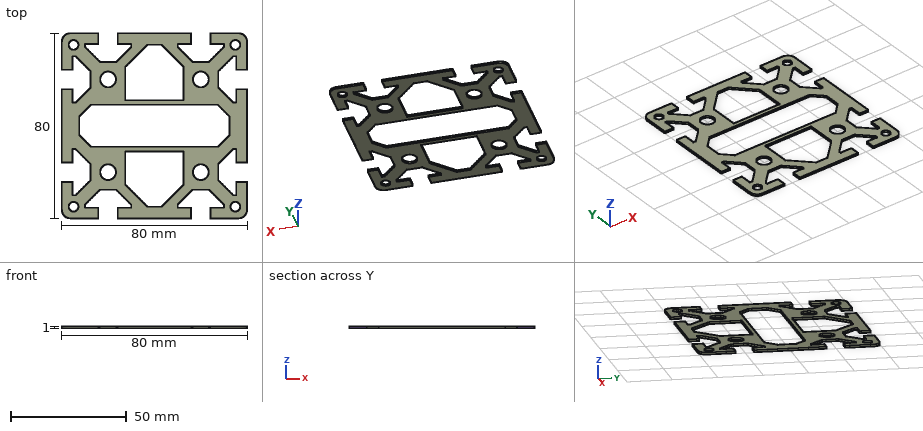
import cadquery as cq

SIDE = 80.0
THICKNESS = 1.0
CORNER_RADIUS = 3.8
HALF_SIDE = SIDE / 2

MODULE = SIDE / 2
MODULE_CENTER = MODULE / 2

SLOT_MOUTH = 8.3
SLOT_WIDTH = 19.8
SLOT_FLOOR_WIDTH = 7.0
SLOT_LIP = 4.75
SLOT_DEPTH = 12.4
SLOT_SLOPE = (SLOT_WIDTH - SLOT_FLOOR_WIDTH) / 2

CORE_DIAMETER = 6.7
CORNER_HOLE_DIAMETER = 4.1
CORNER_HOLE_INSET = 5.1

CENTER_POCKET_LENGTH = 64.7
CENTER_POCKET_HEIGHT = 18.0
CENTER_POCKET_CHAMFER = 5.0

SIDE_POCKET_WIDTH = 25.0
SIDE_POCKET_WALL = 5.1
SIDE_POCKET_CHAMFER = 9.5
WEB = 2.1


def make_plate():
    plate = cq.Workplane("XY").rect(SIDE, SIDE).extrude(THICKNESS)
    return plate.edges("|Z").fillet(CORNER_RADIUS)


def make_slot(center_x):
    """T-slot cutter opening through the +Y side of the plate."""
    lip_y = HALF_SIDE - SLOT_LIP
    floor_y = HALF_SIDE - SLOT_DEPTH
    flank_y = floor_y + SLOT_SLOPE
    right_half = [
        (SLOT_MOUTH / 2, HALF_SIDE),
        (SLOT_MOUTH / 2, lip_y),
        (SLOT_WIDTH / 2, lip_y),
        (SLOT_WIDTH / 2, flank_y),
        (SLOT_FLOOR_WIDTH / 2, floor_y),
    ]
    left_half = [(-x, y) for x, y in reversed(right_half)]
    outline = [(center_x + x, y) for x, y in right_half + left_half]
    return cq.Workplane("XY").polyline(outline).close().extrude(THICKNESS)


def cut_slots(plate):
    for center_x in (-MODULE_CENTER, MODULE_CENTER):
        slot = make_slot(center_x)
        for angle in (0, 90, 180, 270):
            plate = plate.cut(slot.rotate((0, 0, 0), (0, 0, 1), angle))
    return plate


def cut_square_hole_pattern(plate, spacing, diameter):
    holes = (
        cq.Workplane("XY")
        .rarray(spacing, spacing, 2, 2)
        .circle(diameter / 2)
        .extrude(THICKNESS)
    )
    return plate.cut(holes)


def cut_center_pocket(plate):
    pocket = (
        cq.Workplane("XY")
        .rect(CENTER_POCKET_LENGTH, CENTER_POCKET_HEIGHT)
        .extrude(THICKNESS)
        .edges("|Z")
        .chamfer(CENTER_POCKET_CHAMFER)
    )
    return plate.cut(pocket)


def cut_side_pockets(plate):
    inner_y = CENTER_POCKET_HEIGHT / 2 + WEB
    outer_y = HALF_SIDE - SIDE_POCKET_WALL
    height = outer_y - inner_y
    pocket = (
        cq.Workplane("XY")
        .center(0, inner_y + height / 2)
        .rect(SIDE_POCKET_WIDTH, height)
        .extrude(THICKNESS)
        .edges("|Z and >Y")
        .chamfer(SIDE_POCKET_CHAMFER)
    )
    return plate.cut(pocket).cut(pocket.mirror("XZ"))


result = make_plate()
result = cut_slots(result)
result = cut_square_hole_pattern(result, MODULE, CORE_DIAMETER)
result = cut_square_hole_pattern(result, SIDE - 2 * CORNER_HOLE_INSET, CORNER_HOLE_DIAMETER)
result = cut_center_pocket(result)
result = cut_side_pockets(result)